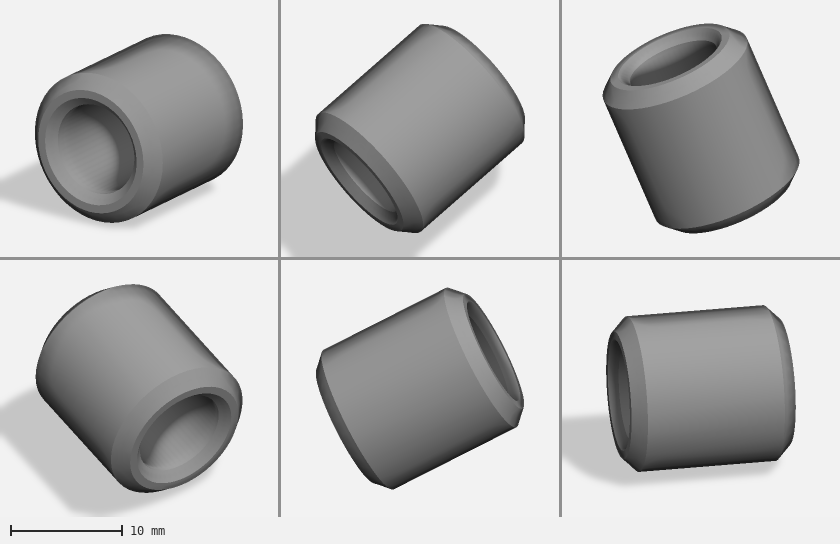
import cadquery as cq

length = 15.0
outer_diameter = 14.0
bore_diameter = 8.37
mouth_diameter = 10.0
outer_chamfer = 1.25

bore_chamfer = (mouth_diameter - bore_diameter) / 2

body = (
    cq.Workplane("XZ")
    .cylinder(length, outer_diameter / 2)
    .faces("<Y or >Y")
    .chamfer(outer_chamfer)
)

result = (
    body.faces("<Y")
    .workplane(centerOption="CenterOfMass")
    .hole(bore_diameter)
    .edges(cq.selectors.RadiusNthSelector(0))
    .chamfer(bore_chamfer)
)